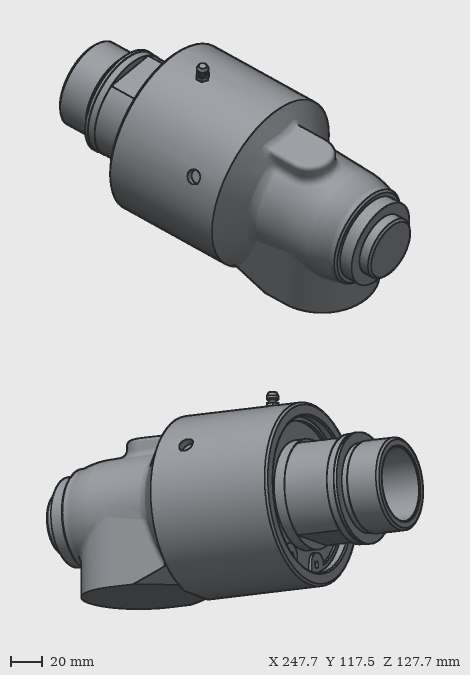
import cadquery as cq
import math


OVERLAP = 2.5
TOLERANCE = 0.2
JOINT_GAP = 0.0002

SPIGOT_D = 59.5
SPIGOT_CHAMFER = 1.5
NECK_D = 58.0
NECK_START = 22.3
FLANGE_D = 71.3
FLANGE_START = 26.8
FLANGE_END = 29.0
SHOULDER_D = 70.5
SHAFT_D = 70.0
FLAT_START = 34.2
FLAT_END = 65.2
FLAT_WIDTH = 59.7
BORE_D = 47.5
BORE_DEPTH = 30.0
BORE_CHAMFER = 0.7

BODY_D = 117.5
BODY_START = 64.7
BODY_END = 149.5
BODY_CHAMFER = 1.5
RECESS_D = 100.0
RECESS_DEPTH = 8.0
RECESS_CHAMFER = 1.0
SIDE_HOLE_D = 9.7
SIDE_HOLE_X = 128.0
SIDE_HOLE_ANGLE = 30.0
SIDE_HOLE_DEPTH = 5.0

CONE_END = 165.5
CONE_ROOT_R = 38.6
CONE_ROOT_FILLET = 7.5
NOSE_START = 210.8
NOSE_START_R = 36.7
NOSE_END = 224.5
NOSE_END_R = 33.5
NOSE_SAG_X = 218.0
NOSE_SAG_R = 35.5
LIP_START = 226.0
LIP_R = 33.2
LIP_END = 230.0
LIP_CHAMFER = 1.5
COLLAR_D = 58.0
COLLAR_END = 239.3
TAIL_D = 42.0
TAIL_END = 247.7
TAIL_CHAMFER = 1.5

RING_INNER_D = 95.1
RING_THICKNESS = 2.0
LUG_R = 8.0
LUG_Y = 17.0
LUG_Z = -42.0
LUG_HOLE_D = 4.5
LUG_HOLE_Y = 15.5

NIPPLE_X = 94.0
NIPPLE_HEX = 7.5
NIPPLE_HEX_TOP = 61.7
NIPPLE_STEM_D = 5.2
NIPPLE_BALL_D = 7.7
NIPPLE_BALL_START = 63.7
NIPPLE_BALL_LAND_START = 64.7
NIPPLE_BALL_LAND_END = 66.5
NIPPLE_TOP = 68.9

PAD_TOP = 46.3
PAD_R = 15.9
PAD_ROUND_X = 182.0
PAD_START = 143.7
PAD_TOP_FILLET = 2.7
PAD_ROOT_FILLET = 5.0

BLOCK_R = 36.7
BLOCK_ROUND_X = 191.5
BLOCK_ROOT_FILLET = 4.0
BLOCK_BLEND_LOW = -44.5
BLOCK_START = 138.7
BLOCK_BOTTOM = -53.5
BLOCK_CONE_START_R = 56.7
BLOCK_CONE_SLOPE = 0.32
RELIEF_START = 145.5
RELIEF_END = 155.5


def cylinder_x(start, end, diameter):
    return cq.Workplane("YZ", origin=(start, 0, 0)).circle(diameter / 2).extrude(end - start)


def u_block(start, round_x, radius, bottom, top):
    """Upright block with straight sides and a half-round end toward +X."""
    return (
        cq.Workplane("XY", origin=(0, 0, bottom))
        .moveTo(start, -radius)
        .lineTo(round_x, -radius)
        .threePointArc((round_x + radius, 0), (round_x, radius))
        .lineTo(start, radius)
        .close()
        .extrude(top - bottom)
    )


def union_with_blend(base, addition, radius, low_corner, high_corner):
    """Join two solids and round the edges where their surfaces meet, inside a box."""
    joined = base.union(addition)
    zone = cq.selectors.BoxSelector(low_corner, high_corner, boundingbox=True)
    joint = []
    for edge in joined.edges(zone).vals():
        middle = cq.Vertex.makeVertex(*edge.positionAt(0.5).toTuple())
        gap = max(middle.distance(base.val()), middle.distance(addition.val()))
        if gap < JOINT_GAP:
            joint.append(edge)
    return joined.newObject(joint).fillet(radius)


def make_shaft():
    """Flanged spigot and shaft with two wrench flats facing up and down."""
    root = BODY_START + RECESS_DEPTH + OVERLAP
    neck_step = (SPIGOT_D - NECK_D) / 2
    profile = [
        (0, 0),
        (0, SPIGOT_D / 2 - SPIGOT_CHAMFER),
        (SPIGOT_CHAMFER, SPIGOT_D / 2),
        (NECK_START, SPIGOT_D / 2),
        (NECK_START + neck_step, NECK_D / 2),
        (FLANGE_START, NECK_D / 2),
        (FLANGE_START, FLANGE_D / 2),
        (FLANGE_END, FLANGE_D / 2),
        (FLANGE_END, SHOULDER_D / 2),
        (FLAT_START, SHOULDER_D / 2),
        (FLAT_START, SHAFT_D / 2),
        (FLAT_END, SHAFT_D / 2),
        (FLAT_END, SHOULDER_D / 2),
        (root, SHOULDER_D / 2),
        (root, 0),
    ]
    shaft = cq.Workplane("XZ").polyline(profile).close().revolve(360, (0, 0, 0), (1, 0, 0))
    flat_length = FLAT_END - FLAT_START
    core = cq.Workplane("XY").box(flat_length, SHAFT_D, FLAT_WIDTH)
    cutter = cq.Workplane("XY").box(flat_length, 2 * SHAFT_D, 2 * SHAFT_D).cut(core)
    return shaft.cut(cutter.translate(((FLAT_START + FLAT_END) / 2, 0, 0)))


def make_housing():
    """Turned outer body: drum, cone, bulged nose, collar and tail."""
    body_r = BODY_D / 2
    housing = (
        cq.Workplane("XZ")
        .moveTo(BODY_START, 0)
        .lineTo(BODY_START, body_r - BODY_CHAMFER)
        .lineTo(BODY_START + BODY_CHAMFER, body_r)
        .lineTo(BODY_END, body_r)
        .lineTo(CONE_END, CONE_ROOT_R)
        .lineTo(NOSE_START, NOSE_START_R)
        .threePointArc((NOSE_SAG_X, NOSE_SAG_R), (NOSE_END, NOSE_END_R))
        .lineTo(LIP_START, LIP_R)
        .lineTo(LIP_END - LIP_CHAMFER, LIP_R)
        .lineTo(LIP_END, LIP_R - LIP_CHAMFER)
        .lineTo(LIP_END, COLLAR_D / 2)
        .lineTo(COLLAR_END, COLLAR_D / 2)
        .lineTo(COLLAR_END, TAIL_D / 2)
        .lineTo(TAIL_END - TAIL_CHAMFER, TAIL_D / 2)
        .lineTo(TAIL_END, TAIL_D / 2 - TAIL_CHAMFER)
        .lineTo(TAIL_END, 0)
        .close()
        .revolve(360, (0, 0, 0), (1, 0, 0))
    )
    cone_root = cq.selectors.BoxSelector(
        (CONE_END - TOLERANCE, -BODY_D, -BODY_D), (CONE_END + TOLERANCE, BODY_D, BODY_D)
    )
    return housing.edges(cone_root).fillet(CONE_ROOT_FILLET)


def cut_recess(part):
    recess = cylinder_x(BODY_START, BODY_START + RECESS_DEPTH, RECESS_D)
    mouth = (
        cq.Workplane("YZ", origin=(BODY_START, 0, 0))
        .circle(RECESS_D / 2 + RECESS_CHAMFER)
        .workplane(offset=RECESS_CHAMFER)
        .circle(RECESS_D / 2)
        .loft()
    )
    return part.cut(recess).cut(mouth)


def make_retaining_ring():
    """Split ring with two pierced lugs beside the gap at the bottom."""
    ring_start = BODY_START + RECESS_DEPTH - RING_THICKNESS
    ring_end = BODY_START + RECESS_DEPTH
    disc = cylinder_x(ring_start, ring_end, RECESS_D)
    ring = disc.cut(cylinder_x(ring_start, ring_end, RING_INNER_D))
    gap = cq.Workplane("XY").box(ring_end, 2 * LUG_Y, RECESS_D)
    ring = ring.cut(gap.translate((ring_end, 0, LUG_Z - RECESS_D / 2)))
    for side in (-1, 1):
        lug_base = cq.Workplane("YZ", origin=(ring_start, side * LUG_Y, LUG_Z))
        lug = lug_base.circle(LUG_R).extrude(RING_THICKNESS)
        leg = lug_base.rect(2 * LUG_R, 2 * LUG_R).extrude(RING_THICKNESS)
        lug = lug.union(leg.translate((0, 0, -LUG_R))).intersect(disc)
        ring = ring.union(lug)
        hole_base = cq.Workplane("YZ", origin=(ring_start, side * LUG_HOLE_Y, LUG_Z))
        ring = ring.cut(hole_base.circle(LUG_HOLE_D / 2).extrude(RING_THICKNESS))
    return ring


def make_nipple():
    """Grease nipple on top of the drum."""
    stem_r = NIPPLE_STEM_D / 2
    ball_r = NIPPLE_BALL_D / 2
    base = BODY_D / 2 - OVERLAP
    hexagon = (
        cq.Workplane("XY", origin=(0, 0, base))
        .polygon(6, NIPPLE_HEX / math.cos(math.pi / 6))
        .extrude(NIPPLE_HEX_TOP - base)
    )
    profile = [
        (0, base),
        (stem_r, base),
        (stem_r, NIPPLE_BALL_START),
        (ball_r, NIPPLE_BALL_LAND_START),
        (ball_r, NIPPLE_BALL_LAND_END),
        (stem_r, NIPPLE_TOP),
        (0, NIPPLE_TOP),
    ]
    head = cq.Workplane("XZ").polyline(profile).close().revolve(360, (0, 0, 0), (0, 1, 0))
    return hexagon.union(head).translate((NIPPLE_X, 0, 0))


def make_pad():
    """Flat-topped pad, rounded along its top edge except where it runs into the cone."""
    pad = u_block(PAD_START, PAD_ROUND_X, PAD_R, 0, PAD_TOP)
    return pad.faces(">Z").edges("not <X").fillet(PAD_TOP_FILLET)


def make_port_block():
    """U-shaped block whose lower front corners are trimmed by a cone about the shaft axis."""
    block = u_block(BLOCK_START, BLOCK_ROUND_X, BLOCK_R, BLOCK_BOTTOM, 0)
    block_end = BLOCK_ROUND_X + BLOCK_R
    start_r = BLOCK_CONE_START_R - BLOCK_CONE_SLOPE * (BODY_END - BLOCK_START)
    end_r = start_r + BLOCK_CONE_SLOPE * (block_end - BLOCK_START)
    envelope = (
        cq.Workplane("XZ")
        .polyline([(BLOCK_START, 0), (BLOCK_START, start_r), (block_end, end_r), (block_end, 0)])
        .close()
        .revolve(360, (0, 0, 0), (1, 0, 0))
    )
    return block.intersect(envelope)


def make_bottom_relief():
    """Space below the port face, with a sloped run-out into the housing."""
    low = -BODY_D
    return (
        cq.Workplane("XZ", origin=(0, BODY_D, 0))
        .polyline(
            [
                (RELIEF_START, -BODY_D / 2),
                (RELIEF_END, BLOCK_BOTTOM),
                (TAIL_END, BLOCK_BOTTOM),
                (TAIL_END, low),
                (RELIEF_START, low),
            ]
        )
        .close()
        .extrude(2 * BODY_D)
    )


def drill_side_holes(part):
    depth_r = BODY_D / 2 - SIDE_HOLE_DEPTH
    for angle in (SIDE_HOLE_ANGLE, 180 - SIDE_HOLE_ANGLE):
        turn = math.radians(angle)
        direction = cq.Vector(0, math.cos(turn), math.sin(turn))
        start = cq.Vector(SIDE_HOLE_X, 0, 0) + direction * depth_r
        drill = cq.Solid.makeCylinder(SIDE_HOLE_D / 2, 2 * SIDE_HOLE_DEPTH, start, direction)
        part = part.cut(cq.Workplane(drill))
    return part


def cut_bore(part):
    mouth = (
        cq.Workplane("YZ")
        .circle(BORE_D / 2 + BORE_CHAMFER)
        .workplane(offset=BORE_CHAMFER)
        .circle(BORE_D / 2)
        .loft()
    )
    return part.cut(cylinder_x(0, BORE_DEPTH, BORE_D)).cut(mouth)


housing = union_with_blend(
    make_housing(),
    make_pad(),
    PAD_ROOT_FILLET,
    low_corner=(BODY_END, -BODY_D, 0),
    high_corner=(NOSE_START, BODY_D, BODY_D),
)
housing = union_with_blend(
    housing,
    make_port_block(),
    BLOCK_ROOT_FILLET,
    low_corner=(BODY_END, -BODY_D, BLOCK_BLEND_LOW),
    high_corner=(NOSE_END + TOLERANCE, BODY_D, 0),
)
housing = housing.cut(make_bottom_relief())
housing = drill_side_holes(cut_recess(housing))
result = housing.union(make_shaft()).union(make_retaining_ring()).union(make_nipple())
result = cut_bore(result)